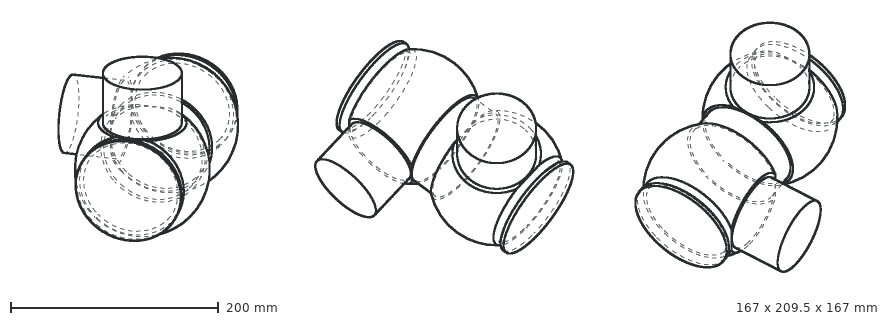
import cadquery as cq

overall_length = 209.5
ball_spacing = 104.8
ball_radius = 65.2
ball_half_width = 39.2
neck_radius = 49.2

groove_radius = 47.8
flange_radius = 52.5
rim_thickness = 4.0
bevel_thickness = 1.9
groove_fillet = 1.3

stem_radius = 38.1
stem_reach = 101.8
flat_height = 49.2

half_length = overall_length / 2
ball_offset = ball_spacing / 2
ball_edge_radius = (ball_radius**2 - ball_half_width**2) ** 0.5


def housing_body():
    """Ball, half neck and end flange revolved about Y, with the flange at -Y."""
    ball_outer_y = -ball_offset - ball_half_width
    ball_inner_y = -ball_offset + ball_half_width
    rim_y = -half_length + rim_thickness
    bevel_y = rim_y + bevel_thickness
    profile = (
        cq.Workplane("XY")
        .moveTo(0, -half_length)
        .lineTo(flange_radius, -half_length)
        .lineTo(flange_radius, rim_y)
        .lineTo(groove_radius, bevel_y)
        .lineTo(groove_radius, ball_outer_y)
        .lineTo(ball_edge_radius, ball_outer_y)
        .threePointArc((ball_radius, -ball_offset), (ball_edge_radius, ball_inner_y))
        .lineTo(neck_radius, ball_inner_y)
        .lineTo(neck_radius, 0)
        .lineTo(0, 0)
        .close()
    )
    body = profile.revolve(360, (0, 0, 0), (0, 1, 0))
    groove_corners = cq.selectors.BoxSelector(
        (-flange_radius, bevel_y - groove_fillet, -flange_radius),
        (flange_radius, ball_outer_y + groove_fillet, flange_radius),
    )
    return body.edges(groove_corners).edges(cq.selectors.RadiusNthSelector(0)).fillet(groove_fillet)


def branch_stem():
    """Straight stem along Z, starting at the ball centre."""
    return cq.Workplane("XY", origin=(0, -ball_offset, 0)).circle(stem_radius).extrude(stem_reach)


def ball_cap():
    """Part of the ball above the flat on which the stem stands."""
    cap_height = ball_radius - flat_height
    return (
        cq.Workplane("XY", origin=(0, -ball_offset, flat_height))
        .rect(2 * ball_radius, 2 * ball_half_width)
        .extrude(cap_height)
    )


def housing():
    """Front housing with its stem pointing up."""
    return housing_body().cut(ball_cap()).union(branch_stem())


front_housing = housing()
rear_housing = front_housing.rotate((0, 0, 0), (0, 0, 1), 180).rotate((0, 0, 0), (0, 1, 0), -90)
result = front_housing.union(rear_housing)